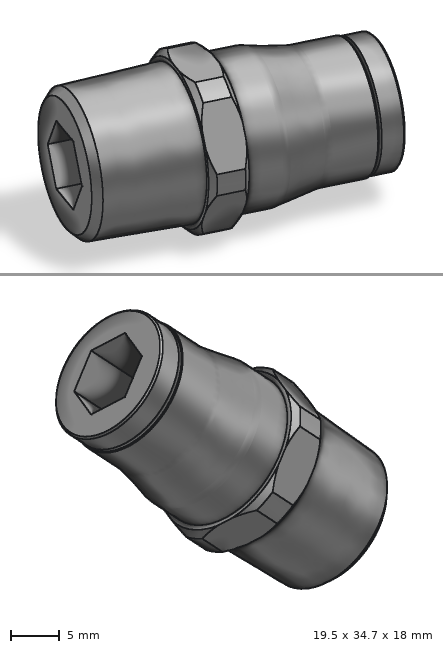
import cadquery as cq
import math

length = 34.7
end_chamfer_length = 0.9
thread_break = 6.42
hex_start = 12.2
hex_end = 16.7
wide_end = 20.65
shoulder_bend_end = 21.55
neck_bend_start = 25.7
neck_start = 26.55
groove_start = 31.68
collar_start = 32.05

end_face_radius = 7.3
thread_tip_radius = 8.15
thread_break_radius = 8.33
body_radius = 8.55
shoulder_bend_radius = 8.4
neck_bend_radius = 7.6
neck_radius = 7.5
groove_radius = 6.52
collar_radius = 7.35
collar_chamfer = 0.2
neck_edge_chamfer = 0.1

wrench_flats = 18.0
wrench_corner_diameter = 19.5
wrench_chamfer_length = 0.65
wrench_chamfer_depth = 0.7
socket_flats = 8.05


def hexagon_prism(across_flats, start, end):
    """Hexagonal bar along +Y with two flats facing up and down."""
    corner_diameter = across_flats / math.cos(math.pi / 6)
    return (
        cq.Workplane("XZ", origin=(0, start, 0))
        .polygon(6, corner_diameter)
        .extrude(start - end)
    )


def revolve_about_y(profile):
    return profile.close().revolve(360, (0, 0, 0), (0, 1, 0))


def bend_middle(corner_y, cone_point, cylinder_point):
    """Middle of a shallow bend, halfway between its corner and its chord."""
    corner_radius = cylinder_point[0]
    chord_radius = (cone_point[0] + cylinder_point[0]) / 2
    return ((corner_radius + chord_radius) / 2, corner_y)


def make_body():
    wide_edge = (body_radius, wide_end)
    shoulder_edge = (shoulder_bend_radius, shoulder_bend_end)
    neck_bend_edge = (neck_bend_radius, neck_bend_start)
    neck_edge = (neck_radius, neck_start)
    shoulder_middle = bend_middle((wide_end + shoulder_bend_end) / 2, shoulder_edge, wide_edge)
    neck_middle = bend_middle((neck_bend_start + neck_start) / 2, neck_bend_edge, neck_edge)
    profile = (
        cq.Workplane("XY")
        .lineTo(end_face_radius, 0)
        .lineTo(thread_tip_radius, end_chamfer_length)
        .lineTo(thread_break_radius, thread_break)
        .lineTo(body_radius, hex_start)
        .lineTo(*wide_edge)
        .threePointArc(shoulder_middle, shoulder_edge)
        .lineTo(*neck_bend_edge)
        .threePointArc(neck_middle, neck_edge)
        .lineTo(neck_radius, groove_start - neck_edge_chamfer)
        .lineTo(neck_radius - neck_edge_chamfer, groove_start)
        .lineTo(groove_radius, groove_start)
        .lineTo(groove_radius, collar_start)
        .lineTo(collar_radius, collar_start)
        .lineTo(collar_radius, length - collar_chamfer)
        .lineTo(collar_radius - collar_chamfer, length)
        .lineTo(0, length)
    )
    return revolve_about_y(profile)


def make_wrench_hexagon():
    """Hexagon with its corners turned round and bevelled at both ends."""
    outer = wrench_corner_diameter / 2
    inner = outer - wrench_chamfer_depth
    turned_blank = revolve_about_y(
        cq.Workplane("XY")
        .moveTo(0, hex_start)
        .lineTo(inner, hex_start)
        .lineTo(outer, hex_start + wrench_chamfer_length)
        .lineTo(outer, hex_end - wrench_chamfer_length)
        .lineTo(inner, hex_end)
        .lineTo(0, hex_end)
    )
    return hexagon_prism(wrench_flats, hex_start, hex_end).intersect(turned_blank)


socket = hexagon_prism(socket_flats, 0, length)
result = make_body().union(make_wrench_hexagon()).cut(socket)